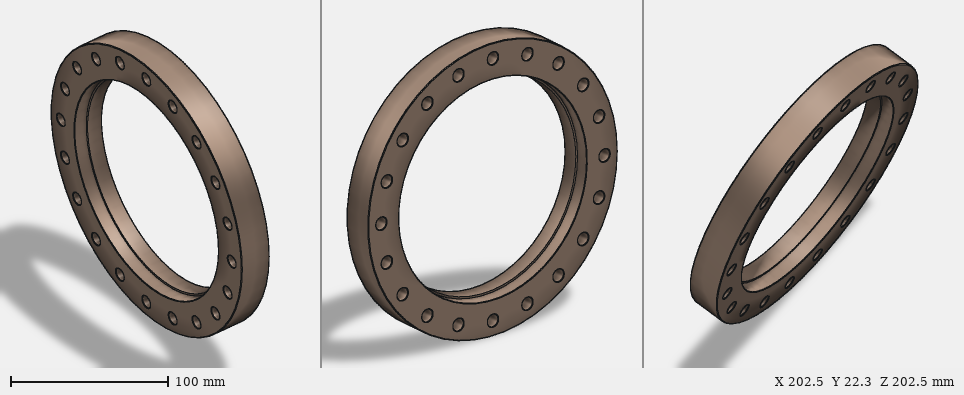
import cadquery as cq

outer_diameter = 202.5
thickness = 22.3
edge_chamfer = 0.5

bore_diameter = 149.4
socket_diameter = 152.2
socket_depth = 9.5
rear_recess_diameter = 171.5
rear_recess_depth = 1.6

bolt_count = 20
bolt_circle_diameter = 181.0
bolt_hole_diameter = 8.5

rim_chamfer = 0.5

front_y = -thickness / 2
rear_y = thickness / 2


def axial_plane(y):
    """Workplane square to the part axis at the given Y, with its normal along +Y."""
    return cq.Workplane(cq.Plane(origin=(0, y, 0), xDir=(1, 0, 0), normal=(0, 1, 0)))


def cylinder(diameter, start_y, length):
    """Solid cylinder on the part axis, running along +Y from start_y."""
    return axial_plane(start_y).circle(diameter / 2).extrude(length)


def chamfered_cutter(diameter, length):
    """Cutter entering from the front face, flared at the mouth to leave a chamfered rim."""
    hole_radius = diameter / 2
    flare = cq.Solid.makeCone(
        hole_radius + rim_chamfer,
        hole_radius,
        rim_chamfer,
        pnt=cq.Vector(0, front_y, 0),
        dir=cq.Vector(0, 1, 0),
    )
    return cylinder(diameter, front_y, length).union(cq.Workplane(flare))


def bolt_holes():
    """Through holes evenly spaced on the bolt circle, the first one on the X axis."""
    hole = chamfered_cutter(bolt_hole_diameter, thickness).translate((bolt_circle_diameter / 2, 0, 0))
    holes = cq.Workplane()
    for index in range(bolt_count):
        holes = holes.add(hole.rotate((0, 0, 0), (0, 1, 0), index * 360 / bolt_count))
    return holes.combine()


disc = cylinder(outer_diameter, front_y, thickness).faces("<Y or >Y").edges().chamfer(edge_chamfer)

result = (
    disc
    .cut(cylinder(bore_diameter, front_y, thickness))
    .cut(chamfered_cutter(socket_diameter, socket_depth))
    .cut(cylinder(rear_recess_diameter, rear_y - rear_recess_depth, rear_recess_depth))
    .cut(bolt_holes())
)